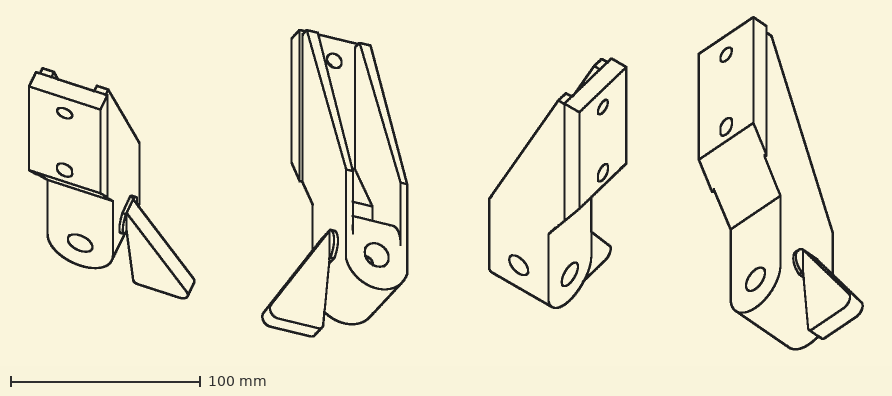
import cadquery as cq
import math


plate_width = 40.5
plate_front_y = -22.0
plate_thickness = 10.0
plate_back_y = plate_front_y + plate_thickness
plate_top_z = 181.0
plate_bottom_z = 105.0
mount_hole_diameter = 8.5
mount_hole_z = 167.2
mount_slot_height = 11.0
mount_slot_z = 115.5

leg_depth = 40.0
leg_end_radius = 18.5
front_knee_z = 68.3
back_knee_z = front_knee_z
rib_top_z = 178.5
rib_top_back_y = -6.7
outer_half_width = 18.5
outer_draft = math.radians(1.0)

front_wall = 8.0
cavity_back_half_width = 13.9
cavity_draft = math.radians(2.1)
boss_radius = leg_depth / 2

leg_hole_diameter = 14.0
leg_hole_z = 20.5
pivot_diameter = 12.8
pivot_y = leg_depth / 2
pivot_z = 30.0

collar_diameter = 20.5
collar_flats = 17.0
lever_thickness = 9.5
lever_inner_x = plate_width / 2
lever_tip_x = 55.0
lever_bottom_z = -23.0
lever_lean = math.radians(5.0)
lever_tip_radius = 5.0
lever_heel_radius = 3.0

clearance = 10.0


def extrude_x(points, width):
    """Extrude a closed (Y, Z) outline symmetrically about the middle plane."""
    return cq.Workplane("YZ").polyline(points).close().extrude(width / 2, both=True)


def drafted_block(half_width_at, front_y, back_y):
    """Block whose half width varies along Y, tall enough to cover the part."""
    front_half = half_width_at(front_y)
    back_half = half_width_at(back_y)
    return (
        cq.Workplane("XY")
        .polyline([(-front_half, front_y), (front_half, front_y), (back_half, back_y), (-back_half, back_y)])
        .close()
        .extrude(plate_top_z + clearance)
    )


def outer_half_width_at(y):
    return outer_half_width - y * math.tan(outer_draft)


def cavity_half_width_at(y):
    return cavity_back_half_width - (leg_depth - y) * math.tan(cavity_draft)


def slope_z_at(y):
    """Height of the sloping underside that joins the leg to the plate."""
    return front_knee_z + y * (plate_bottom_z - front_knee_z) / plate_front_y


def make_plate():
    outline = [
        (plate_front_y, plate_top_z),
        (plate_back_y, plate_top_z),
        (plate_back_y, slope_z_at(plate_back_y)),
        (plate_front_y, plate_bottom_z),
    ]
    return extrude_x(outline, plate_width)


def make_body():
    side = extrude_x(
        [
            (0, 0),
            (leg_depth, 0),
            (leg_depth, back_knee_z),
            (rib_top_back_y, rib_top_z),
            (plate_back_y, rib_top_z),
            (plate_back_y, slope_z_at(plate_back_y)),
            (0, front_knee_z),
        ],
        plate_width,
    )
    half_plate = plate_width / 2
    rounded_end = (
        cq.Workplane("XZ", origin=(0, plate_back_y, 0))
        .moveTo(-half_plate, plate_top_z)
        .lineTo(-half_plate, leg_end_radius)
        .lineTo(-leg_end_radius, leg_end_radius)
        .threePointArc((0, 0), (leg_end_radius, leg_end_radius))
        .lineTo(half_plate, leg_end_radius)
        .lineTo(half_plate, plate_top_z)
        .close()
        .extrude(-(leg_depth - plate_back_y))
    )
    sides = drafted_block(outer_half_width_at, plate_back_y, leg_depth)
    return side.intersect(rounded_end).intersect(sides)


def make_cavity():
    slope_angle = math.atan2(plate_bottom_z - front_knee_z, -plate_front_y)

    def inner_slope_z_at(y):
        return slope_z_at(y) + front_wall / math.cos(slope_angle)

    floor_z = pivot_z + boss_radius
    arc_step = boss_radius * math.sqrt(0.5)
    outer_y = leg_depth + clearance
    channel = (
        cq.Workplane("YZ")
        .moveTo(outer_y, pivot_z)
        .lineTo(leg_depth, pivot_z)
        .threePointArc((pivot_y + arc_step, pivot_z + arc_step), (pivot_y, floor_z))
        .lineTo(front_wall, floor_z)
        .lineTo(front_wall, inner_slope_z_at(front_wall))
        .lineTo(plate_back_y, inner_slope_z_at(plate_back_y))
        .lineTo(plate_back_y, plate_top_z)
        .lineTo(outer_y, plate_top_z)
        .close()
        .extrude(plate_width / 2, both=True)
    )
    return channel.intersect(drafted_block(cavity_half_width_at, plate_back_y, outer_y))


def through_hole(height, width, z):
    """Cutter along Y through the whole part: round, or an upright slot if taller than wide."""
    length = leg_depth - plate_front_y + 2 * clearance
    plane = cq.Workplane("XZ", origin=(0, plate_front_y - clearance, z))
    if height > width:
        return plane.slot2D(height, width, 90).extrude(-length)
    return plane.circle(width / 2).extrude(-length)


def collar_inner_x():
    """Where the collar starts, sunk just far enough to meet the drafted leg all round."""
    return outer_half_width_at(pivot_y + collar_diameter / 2)


def make_pivot_hole():
    """Pivot bore through the leg, closed by the collar."""
    start_x = -plate_width / 2
    return (
        cq.Workplane("YZ", origin=(start_x, pivot_y, pivot_z))
        .circle(pivot_diameter / 2)
        .extrude(collar_inner_x() - start_x)
    )


def make_collar():
    """Round collar with two flats between the leg and the lever."""
    start_x = collar_inner_x()
    plane = cq.Workplane("YZ", origin=(start_x, pivot_y, pivot_z))
    length = lever_inner_x - start_x
    flats = plane.rect(collar_diameter, collar_flats).extrude(length)
    return plane.circle(collar_diameter / 2).extrude(length).intersect(flats)


def make_lever():
    apex_z = pivot_z + collar_flats / 2
    knee_z = pivot_z - collar_flats / 2
    heel_x = lever_inner_x + (knee_z - lever_bottom_z) * math.tan(lever_lean)
    run = lever_tip_x - lever_tip_radius - lever_inner_x
    drop = apex_z - lever_bottom_z - lever_tip_radius
    edge_angle = math.atan2(run, drop) + math.asin(lever_tip_radius / math.hypot(run, drop))
    corner_x = lever_inner_x + (apex_z - lever_bottom_z) * math.tan(edge_angle)
    lever = (
        cq.Workplane("XZ", origin=(0, pivot_y, 0))
        .polyline(
            [
                (lever_inner_x, apex_z),
                (lever_inner_x, knee_z),
                (heel_x, lever_bottom_z),
                (corner_x, lever_bottom_z),
            ]
        )
        .close()
        .extrude(lever_thickness / 2, both=True)
    )
    lever = lever.edges("|Y").edges(">X").fillet(lever_tip_radius)
    heel = cq.selectors.NearestToPointSelector((heel_x, pivot_y, lever_bottom_z))
    return lever.edges("|Y").edges(heel).fillet(lever_heel_radius)


bracket = make_plate().union(make_body()).cut(make_cavity())
bracket = bracket.cut(through_hole(leg_hole_diameter, leg_hole_diameter, leg_hole_z))
bracket = bracket.cut(through_hole(mount_hole_diameter, mount_hole_diameter, mount_hole_z))
bracket = bracket.cut(through_hole(mount_slot_height, mount_hole_diameter, mount_slot_z))
bracket = bracket.cut(make_pivot_hole())
result = bracket.union(make_collar()).union(make_lever())